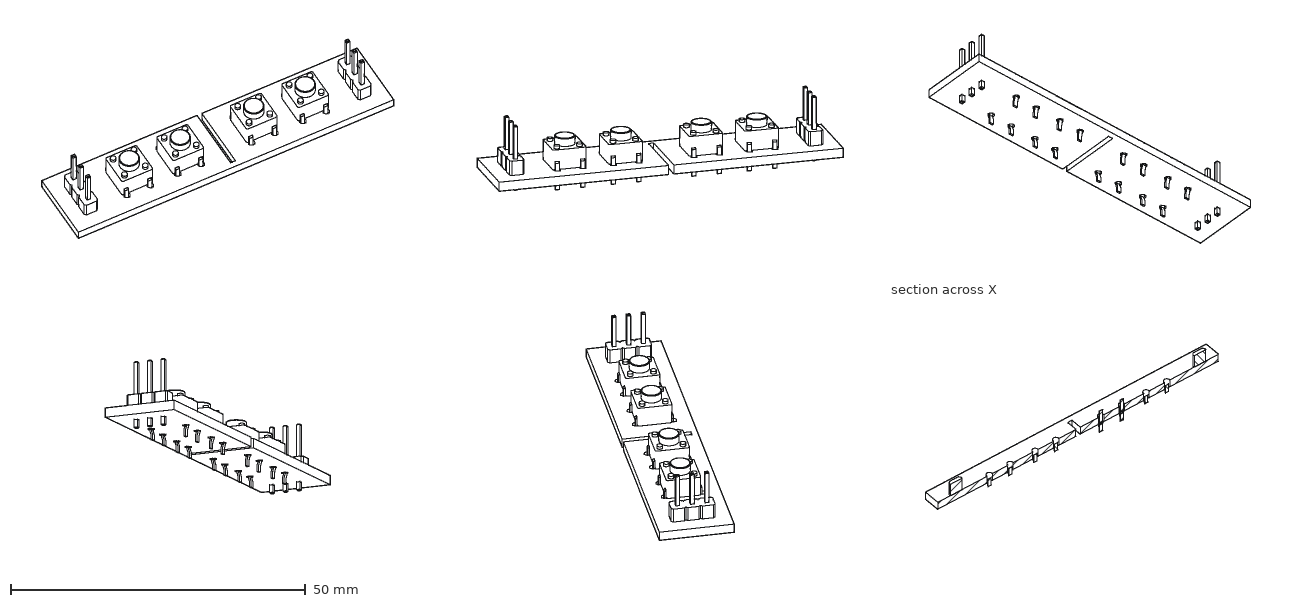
import cadquery as cq

BOARD_WIDTH = 13.0
BOARD_LENGTH = 61.0
BOARD_THICKNESS = 1.65
SLOT_WIDTH = 0.9
SLOT_BRIDGE = 1.1

HEADER_YS = (-26.5, 26.5)
PIN_COUNT = 3
HEADER_LENGTH = 7.6
PIN_PITCH = HEADER_LENGTH / PIN_COUNT
HEADER_DEPTH = 2.55
HEADER_HEIGHT = 2.55
HEADER_CHAMFER = 0.3
PIN_SIDE = 0.7
PIN_TOP_Z = 8.5
PIN_BOTTOM_Z = -3.1
PIN_TIP_CHAMFER = 0.15

SWITCH_CENTERS = ((-0.09, -17.1), (0, -7.25), (-0.09, 7.0), (-0.09, 16.95))
CASE_SIDE = 6.0
CASE_HEIGHT = 3.55
CASE_CORNER_RADIUS = 0.3
STUD_DIAMETER = 1.0
STUD_HEIGHT = 0.5
STUD_SPACING = 4.0
BUTTON_DIAMETER = 3.5
BUTTON_HEIGHT = 1.45
BUTTON_CHAMFER = 0.1

LEAD_SPACING = 4.5
LEAD_WIDTH = 0.75
LEAD_THICKNESS = 0.3
LEAD_STANDOFF = 0.275
LEAD_OUTER_X = CASE_SIDE / 2 + LEAD_STANDOFF
LEAD_TOP_Z = 1.45
LEAD_CHAMFER = 0.25
LEAD_BOTTOM_Z = -3.55
KINK_OFFSET = 0.275
KINK_TOP_Z = -0.75
KINK_PEAK_Z = -1.65
KINK_BOTTOM_Z = -2.55

LEAD_HOLE_DIAMETER = 1.1
LEAD_HOLE_SPACING = 6.5


def make_pins(header_y):
    """Square pins with chamfered tips, in a row along X."""
    return (
        cq.Workplane("XY", origin=(0, header_y, PIN_BOTTOM_Z))
        .rarray(PIN_PITCH, 0.6, PIN_COUNT, 1)
        .rect(PIN_SIDE, PIN_SIDE)
        .extrude(PIN_TOP_Z - PIN_BOTTOM_Z)
        .faces("<Z or >Z")
        .chamfer(PIN_TIP_CHAMFER)
    )


def make_header(header_y):
    """Row of chamfered plastic blocks, one for each pin, with the pins through them."""
    blocks = (
        cq.Workplane("XY", origin=(0, header_y, 0))
        .rarray(PIN_PITCH, 0.6, PIN_COUNT, 1)
        .rect(PIN_PITCH, HEADER_DEPTH)
        .extrude(HEADER_HEIGHT, combine=False)
    )
    header = make_pins(header_y)
    for block in blocks.solids().vals():
        header = header.union(cq.Workplane(block).edges("|Z").chamfer(HEADER_CHAMFER))
    return header


def make_lead():
    """Lead on the +X side: out of the case, round a chamfered corner, down, with a kink at the board."""
    inner_x = LEAD_OUTER_X - LEAD_THICKNESS
    return (
        cq.Workplane("XZ")
        .moveTo(0, LEAD_TOP_Z)
        .lineTo(LEAD_OUTER_X - LEAD_CHAMFER, LEAD_TOP_Z)
        .lineTo(LEAD_OUTER_X, LEAD_TOP_Z - LEAD_CHAMFER)
        .lineTo(LEAD_OUTER_X, KINK_TOP_Z)
        .lineTo(LEAD_OUTER_X + KINK_OFFSET, KINK_PEAK_Z)
        .lineTo(LEAD_OUTER_X, KINK_BOTTOM_Z)
        .lineTo(LEAD_OUTER_X, LEAD_BOTTOM_Z)
        .lineTo(inner_x, LEAD_BOTTOM_Z)
        .lineTo(inner_x, KINK_BOTTOM_Z)
        .lineTo(inner_x + KINK_OFFSET, KINK_PEAK_Z)
        .lineTo(inner_x, KINK_TOP_Z)
        .lineTo(inner_x, LEAD_TOP_Z - LEAD_THICKNESS)
        .lineTo(0, LEAD_TOP_Z - LEAD_THICKNESS)
        .close()
        .extrude(LEAD_WIDTH / 2, both=True)
    )


def make_switch(switch_x, switch_y):
    """Square case with a round button, four studs on top and four leads."""
    switch = cq.Workplane("XY").rect(CASE_SIDE, CASE_SIDE).extrude(CASE_HEIGHT)
    switch = switch.edges("|Z").fillet(CASE_CORNER_RADIUS)

    case_top = cq.Workplane("XY", origin=(0, 0, CASE_HEIGHT))
    button = case_top.circle(BUTTON_DIAMETER / 2).extrude(BUTTON_HEIGHT).faces(">Z").chamfer(BUTTON_CHAMFER)
    studs = case_top.rarray(STUD_SPACING, STUD_SPACING, 2, 2).circle(STUD_DIAMETER / 2).extrude(STUD_HEIGHT)
    switch = switch.union(button).union(studs)

    for lead_y in (-LEAD_SPACING / 2, LEAD_SPACING / 2):
        lead = make_lead().translate((0, lead_y, 0))
        switch = switch.union(lead).union(lead.mirror("YZ"))
    return switch.translate((switch_x, switch_y, 0))


def make_board():
    """Flat plate, slotted from the -X side, with holes for the leads and the pins."""
    board = cq.Workplane("XY").rect(BOARD_WIDTH, BOARD_LENGTH).extrude(-BOARD_THICKNESS)

    slot_length = BOARD_WIDTH - SLOT_BRIDGE
    slot = (
        cq.Workplane("XY")
        .center(-BOARD_WIDTH / 2 + slot_length / 2, 0)
        .rect(slot_length, SLOT_WIDTH)
        .extrude(-BOARD_THICKNESS)
    )
    board = board.cut(slot)

    for _, switch_y in SWITCH_CENTERS:
        lead_holes = (
            cq.Workplane("XY", origin=(0, switch_y, 0))
            .rarray(LEAD_HOLE_SPACING, LEAD_SPACING, 2, 2)
            .circle(LEAD_HOLE_DIAMETER / 2)
            .extrude(-BOARD_THICKNESS)
        )
        board = board.cut(lead_holes)

    for header_y in HEADER_YS:
        board = board.cut(make_pins(header_y))
    return board


board = make_board()
headers = [make_header(header_y) for header_y in HEADER_YS]
switches = [make_switch(*center) for center in SWITCH_CENTERS]

result = cq.Compound.makeCompound([body.val() for body in [board, *headers, *switches]])